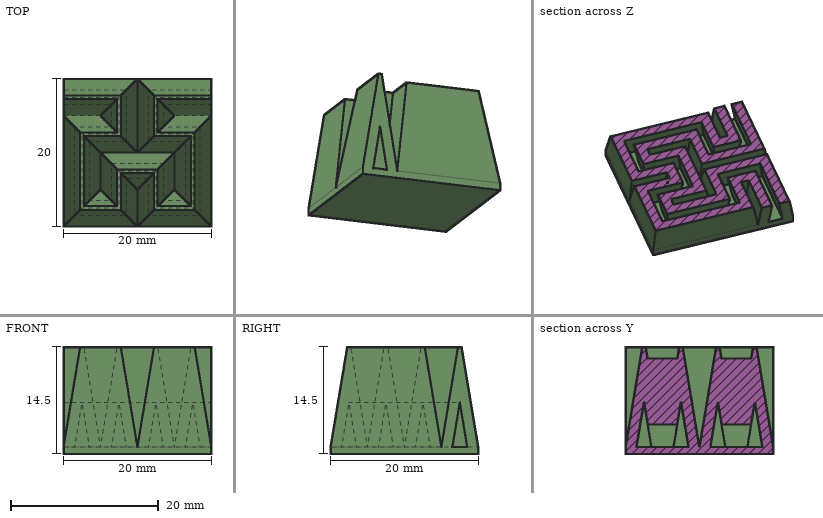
import cadquery as cq

side = 20.0
base_height = 1.0
wall_height = 13.5

cells_per_side = 4
cell = side / cells_per_side
wall_top_width = 0.5
flank_slope = (cell - wall_top_width) / 2 / wall_height

tunnel_width = 2.0
tunnel_height = tunnel_width / 2 / flank_slope

path_bends = [
    (-1, 3), (1, 3), (1, 2), (0, 2), (0, 0), (1, 0), (1, 1),
    (2, 1), (2, 0), (3, 0), (3, 2), (2, 2), (2, 3), (4, 3),
]


def cell_centre(column, row):
    """Centre of a grid cell, with the base centred on the origin."""
    middle = (cells_per_side - 1) / 2
    return ((column - middle) * cell, (row - middle) * cell)


def tapered_bar(start, end, width, height):
    """Bar between two bends, sloping inwards on its flanks and at both ends."""
    length_x = abs(end[0] - start[0]) + width
    length_y = abs(end[1] - start[1]) + width
    inset = height * flank_slope
    bar = cq.Solid.makeWedge(
        length_x, height, length_y, inset, inset, length_x - inset, length_y - inset
    )
    upright = bar.rotate(cq.Vector(0, 0, 0), cq.Vector(1, 0, 0), 90)
    centre_x = (start[0] + end[0]) / 2
    centre_y = (start[1] + end[1]) / 2
    corner = (centre_x - length_x / 2, centre_y + length_y / 2, base_height)
    return upright.translate(cq.Vector(*corner))


def bars_along_path(width, height):
    """Join one bar per straight run; the sloping ends form the outer corners."""
    points = [cell_centre(*bend) for bend in path_bends]
    joined = cq.Workplane("XY")
    for start, end in zip(points, points[1:]):
        joined = joined.add(tapered_bar(start, end, width, height))
    return joined.combine()


base = cq.Workplane("XY").box(side, side, base_height, centered=(True, True, False))
envelope = cq.Workplane("XY").box(
    side, side, base_height + wall_height, centered=(True, True, False)
)
wall = bars_along_path(cell, wall_height).intersect(envelope)
tunnel = bars_along_path(tunnel_width, tunnel_height)

result = base.union(wall).cut(tunnel)